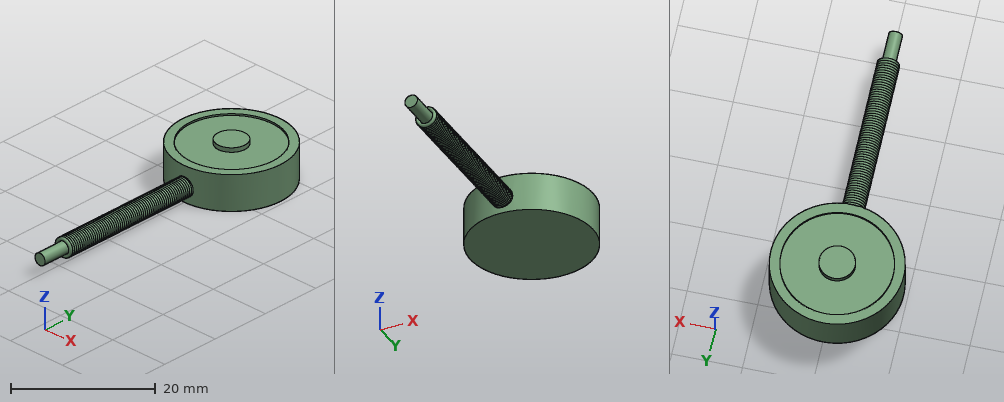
import cadquery as cq
import math

housing_diameter = 18.8
housing_height = 5.85
recess_diameter = 15.85
recess_depth = 0.3
button_diameter = 5.1
overall_height = 6.25

overall_length = 47.5
cable_diameter = 1.95
cable_axis_height = 2.45
bare_cable_length = 4.45
sheath_diameter = 3.2
sheath_bore_diameter = 2.05
sheath_length = 25.0
rib_count = 65

housing_radius = housing_diameter / 2
cable_end_y = housing_radius - overall_length
sheath_end_y = cable_end_y + bare_cable_length
seat_y = sheath_end_y + sheath_length
rib_radius = (sheath_diameter - sheath_bore_diameter) / 4
rib_pitch = (sheath_length - 2 * rib_radius) / (rib_count - 1)
groove_depth = rib_radius - math.sqrt(rib_radius**2 - (rib_pitch / 2) ** 2)


def rod(diameter, start_y, end_y):
    """Cylinder on the cable axis, running towards -Y from start_y to end_y."""
    plane = cq.Plane(origin=(0, start_y, cable_axis_height), xDir=(1, 0, 0), normal=(0, -1, 0))
    return cq.Workplane(plane).circle(diameter / 2).extrude(start_y - end_y)


def make_housing():
    body = cq.Workplane("XY").circle(housing_radius).extrude(housing_height)
    recess_floor = housing_height - recess_depth
    recess = (
        cq.Workplane("XY").workplane(offset=recess_floor)
        .circle(recess_diameter / 2).extrude(recess_depth)
    )
    button = (
        cq.Workplane("XY").workplane(offset=recess_floor)
        .circle(button_diameter / 2).extrude(overall_height - recess_floor)
    )
    socket = rod(sheath_diameter, seat_y, -housing_radius)
    return body.cut(recess).union(button).cut(socket)


def make_sheath():
    """Revolve a tube wall with a row of round ribs outside, a plain bore and rounded ends."""
    bore_radius = sheath_bore_diameter / 2
    crest_radius = sheath_diameter / 2
    coil_centre_radius = bore_radius + rib_radius
    root_radius = crest_radius - groove_depth
    first_rib_y = sheath_end_y + rib_radius
    last_rib_y = seat_y - rib_radius
    plane = cq.Plane(origin=(0, 0, cable_axis_height), xDir=(1, 0, 0), normal=(0, 0, 1))
    profile = (
        cq.Workplane(plane).moveTo(bore_radius, first_rib_y)
        .threePointArc((coil_centre_radius, sheath_end_y), (root_radius, first_rib_y + rib_pitch / 2))
    )
    for rib in range(1, rib_count - 1):
        rib_y = first_rib_y + rib * rib_pitch
        profile = profile.threePointArc((crest_radius, rib_y), (root_radius, rib_y + rib_pitch / 2))
    profile = profile.threePointArc((coil_centre_radius, seat_y), (bore_radius, last_rib_y)).close()
    return profile.revolve(360, (0, 0, 0), (0, 1, 0))


housing = make_housing()
sheath = make_sheath()
cable = rod(cable_diameter, seat_y, cable_end_y)

result = cq.Compound.makeCompound([housing.val(), sheath.val(), cable.val()])